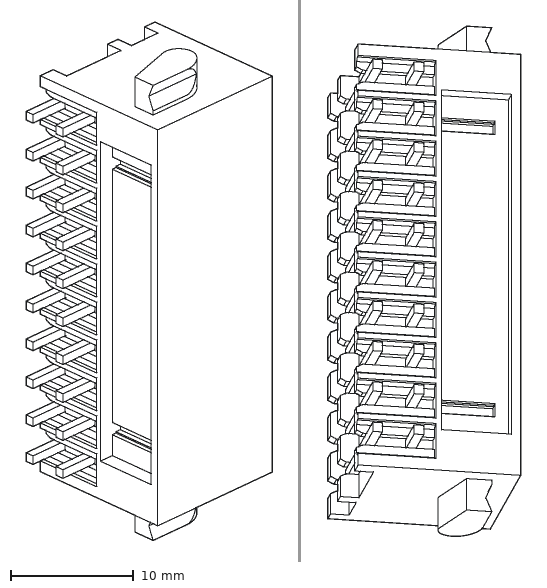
import cadquery as cq
import math


body_width = 13.5
body_depth = 13.3
body_height = 36.5
rear_recess = 1.55
front_rib_thickness = 1.5
rib_thickness = 1.2
middle_rib_start = 7.8

pin_count = 10
pin_end_margin = 2.5
pin_pitch = (body_height - 2 * pin_end_margin) / (pin_count - 1)
pin_size = 0.8
pin_protrusion = 2.4
pin_reach = 9.55
pin_row_spacing = 3.45

notch_width = 1.0
notch_mouth_width = 1.5
notch_lead_in = 0.5
groove_end = 6.45
groove_width = 3.0
groove_depth = 0.67
groove_bevel = 0.3
slot_depth = 1.35

pocket_start = 6.92
pocket_width = 5.85
pocket_height = 29.45
pocket_depth = 1.4

keyway_length = 4.7
keyway_width = 1.15
keyway_step_depth = 0.4
keyway_core_width = 0.9
keyway_depth = 0.92

overall_height = 41.95
lug_height = (overall_height - body_height) / 2
lug_base_left = 9.3
lug_right = 11.4
lug_base_y = 1.6
lug_large_radius = 2.95
lug_small_radius = 1.45
lug_shoulder_y = 5.45
lug_blend_angle = math.radians(52)
lug_groove_base = 0.38
lug_groove_depth = 0.5

pin_levels = [(i - (pin_count - 1) / 2) * pin_pitch for i in range(pin_count)]


def box(x_range, y_range, z_range):
    """Axis-aligned block given by its limits along each axis."""
    low, high = zip(x_range, y_range, z_range)
    size = [b - a for a, b in zip(low, high)]
    return cq.Workplane("XY").box(*size, centered=False).translate(low)


def around(centre, width):
    return (centre - width / 2, centre + width / 2)


def make_housing():
    """Block with three ribs along its pin side."""
    full_height = around(0, body_height)
    housing = box((rear_recess, body_width), (0, body_depth), full_height)
    ribs = [
        (0, front_rib_thickness),
        (middle_rib_start, middle_rib_start + rib_thickness),
        (body_depth - rib_thickness, body_depth),
    ]
    for rib in ribs:
        housing = housing.union(box((0, rear_recess), rib, full_height))
    return housing


def make_rib_notch():
    """Notch through all ribs with a tapered mouth at the rib tips."""
    half_mouth = notch_mouth_width / 2
    half_width = notch_width / 2
    outline = [
        (0, -half_mouth),
        (notch_lead_in, -half_width),
        (rear_recess, -half_width),
        (rear_recess, half_width),
        (notch_lead_in, half_width),
        (0, half_mouth),
    ]
    return cq.Workplane("XZ").polyline(outline).close().extrude(-body_depth)


def make_pin_groove():
    """Bevelled groove in the soldering face with a deeper slot along its middle."""
    half_width = groove_width / 2
    half_floor = half_width - groove_bevel
    bevel_start = groove_depth - groove_bevel
    outline = [
        (0, -half_width),
        (bevel_start, -half_width),
        (groove_depth, -half_floor),
        (groove_depth, half_floor),
        (bevel_start, half_width),
        (0, half_width),
    ]
    groove = cq.Workplane("YZ").polyline(outline).close().extrude(groove_end)
    slot = box((rear_recess, groove_end), (0, slot_depth), around(0, notch_width))
    return groove.union(slot)


def make_pocket():
    """Shallow pocket with a stepped keyway level with the second pin from each end."""
    x_range = (pocket_start, pocket_start + pocket_width)
    keyway_x = (pocket_start, pocket_start + keyway_length)
    pocket = box(x_range, (0, pocket_depth), around(0, pocket_height))
    for level in (pin_levels[1], pin_levels[-2]):
        step = (0, pocket_depth + keyway_step_depth)
        core = (0, pocket_depth + keyway_depth)
        pocket = pocket.union(box(keyway_x, step, around(level, keyway_width)))
        pocket = pocket.union(box(keyway_x, core, around(level, keyway_core_width)))
    return pocket


def make_pins(level):
    """Two straight pins, the first one lying on the back plane of the recess."""
    first_x = (rear_recess - pin_size, rear_recess)
    second_x = tuple(x + pin_row_spacing for x in first_x)
    pins = cq.Workplane("XY")
    for x_range in (first_x, second_x):
        pins = pins.add(box(x_range, (-pin_protrusion, pin_reach), around(level, pin_size)))
    return pins.combine()


def make_lug():
    """Teardrop lug on the upper end, with a V groove across its +X flank."""
    large_x = lug_right - lug_large_radius
    blend_x = math.cos(lug_blend_angle)
    blend_y = math.sin(lug_blend_angle)
    centre_distance = lug_large_radius - lug_small_radius
    small_x = large_x + centre_distance * blend_x
    small_y = lug_shoulder_y + centre_distance * blend_y

    def on_large(angle):
        return (
            large_x + lug_large_radius * math.cos(angle),
            lug_shoulder_y + lug_large_radius * math.sin(angle),
        )

    def on_small(angle):
        return (
            small_x + lug_small_radius * math.cos(angle),
            small_y + lug_small_radius * math.sin(angle),
        )

    corner_distance = math.hypot(lug_base_left - small_x, lug_base_y - small_y)
    corner_angle = math.atan2(lug_base_y - small_y, lug_base_left - small_x)
    flank_angle = corner_angle - math.acos(lug_small_radius / corner_distance) + 2 * math.pi

    bottom = body_height / 2
    lug = (
        cq.Workplane("XY", origin=(0, 0, bottom))
        .moveTo(lug_base_left, lug_base_y)
        .lineTo(lug_right, lug_base_y)
        .lineTo(lug_right, lug_shoulder_y)
        .threePointArc(on_large(lug_blend_angle / 2), on_large(lug_blend_angle))
        .threePointArc(on_small((lug_blend_angle + flank_angle) / 2), on_small(flank_angle))
        .close()
        .extrude(lug_height)
    )
    groove_low = bottom + lug_groove_base
    groove_high = bottom + lug_height
    groove = (
        cq.Workplane("XZ")
        .moveTo(lug_right, groove_low)
        .lineTo(lug_right - lug_groove_depth, (groove_low + groove_high) / 2)
        .lineTo(lug_right, groove_high)
        .close()
        .extrude(-body_depth)
    )
    return lug.cut(groove)


housing = make_housing().cut(make_pocket())
rib_notch = make_rib_notch()
pin_groove = make_pin_groove()
for level in pin_levels:
    housing = housing.cut(rib_notch.translate((0, 0, level)))
    housing = housing.cut(pin_groove.translate((0, 0, level)))
for level in pin_levels:
    housing = housing.union(make_pins(level))

lug = make_lug()
result = housing.union(lug).union(lug.mirror("XY"))